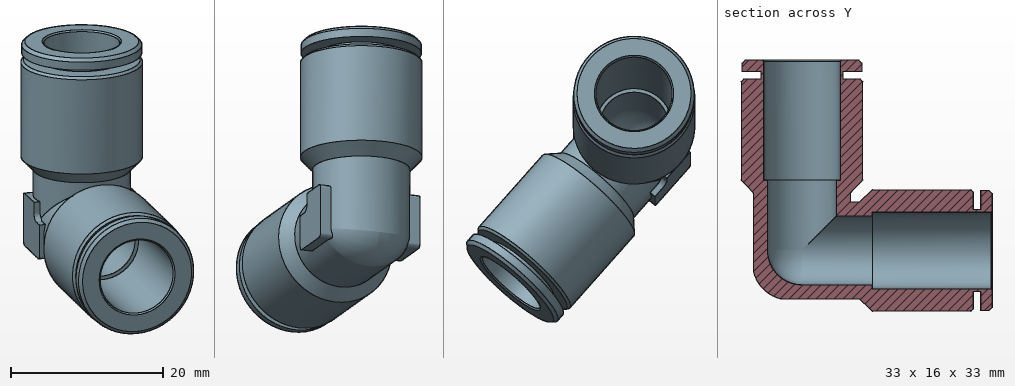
import cadquery as cq
import math

body_radius = 16.0 / 2
arm_length = 33 - body_radius

stem_end = 7.55
body_start = 9.25
body_end = 22.5
collar_start = 23.45
body_chamfer = 0.33
collar_chamfer = 0.43

stem_radius = 12.8 / 2
neck_radius = 10.8 / 2
collar_radius = 15.8 / 2
tube_radius = 10.0 / 2
bore_radius = 9.0 / 2
tube_lead_in = 0.2

bend_pivot = -1.6
bend_start = -2.75
bend_tilt = math.atan2(bend_pivot - bend_start, bend_pivot + stem_radius)

pad_min = -3.2
pad_max = 4.0
pad_notch = 1.6
pad_half_width = 7.03
pad_corner_radius = 0.5
pad_notch_radius = 0.95


def along_x(shape):
    """Turn a shape built along +Z so that it lies along +X."""
    return shape.rotate((0, 0, 0), (0, 1, 0), 90)


def make_mitre():
    """Two stems meeting in a sharp mitre at the outer corner."""
    overrun = 2 * stem_radius
    stem = cq.Workplane("XY").workplane(offset=-overrun).circle(stem_radius).extrude(overrun + stem_end)
    corner = stem.intersect(along_x(stem))
    upright = cq.Workplane("XY").circle(stem_radius).extrude(stem_end)
    return corner.union(upright).union(along_x(upright))


def make_bend_wedge():
    """Wedge that opens from the pivot line and covers the sharp outer corner."""
    reach = 4 * stem_radius
    near = bend_pivot - reach * math.sin(bend_tilt)
    far = bend_pivot - reach * math.cos(bend_tilt)
    outline = [(bend_pivot, bend_pivot), (far, near), (near, far)]
    return cq.Workplane("XZ").polyline(outline).close().extrude(body_radius, both=True)


def make_bend():
    """The tilted elliptical section of the stem, turned about the pivot line."""
    cosine = math.cos(bend_tilt)
    section_plane = cq.Plane(
        origin=(bend_pivot, 0, bend_pivot),
        xDir=(-cosine, 0, -math.sin(bend_tilt)),
        normal=(math.sin(bend_tilt), 0, -cosine),
    )
    half_length = stem_radius / cosine
    section = (
        cq.Sketch()
        .push([(bend_pivot / cosine, 0)])
        .ellipse(half_length, stem_radius)
        .reset()
        .push([(half_length, 0)])
        .rect(2 * half_length, 4 * stem_radius, mode="i")
        .reset()
    )
    bend_angle = 90 - 2 * math.degrees(bend_tilt)
    return cq.Workplane(section_plane).placeSketch(section).revolve(bend_angle, (0, 0, 0), (0, -1, 0))


def make_socket():
    """Coned body, neck and release collar of one arm, along +Z."""
    profile = [
        (0, stem_end),
        (stem_radius, stem_end),
        (body_radius, body_start),
        (body_radius, body_end - body_chamfer),
        (body_radius - body_chamfer, body_end),
        (neck_radius, body_end),
        (neck_radius, collar_start),
        (collar_radius, collar_start),
        (collar_radius, arm_length - collar_chamfer),
        (collar_radius - collar_chamfer, arm_length),
        (0, arm_length),
    ]
    return cq.Workplane("XZ").polyline(profile).close().revolve(360, (0, 0, 0), (0, 1, 0))


def make_bore():
    """Stepped tube bore of one arm, along +Z, with a chamfered mouth."""
    profile = [
        (0, 0),
        (bore_radius, 0),
        (bore_radius, body_start),
        (tube_radius, body_start),
        (tube_radius, arm_length - tube_lead_in),
        (tube_radius + tube_lead_in, arm_length),
        (0, arm_length),
    ]
    return cq.Workplane("XZ").polyline(profile).close().revolve(360, (0, 0, 0), (0, 1, 0))


def make_pads():
    """L-shaped block whose ends form the flat pads on both Y sides."""
    outline = [
        (pad_min, pad_min),
        (pad_max, pad_min),
        (pad_max, pad_notch),
        (pad_notch, pad_notch),
        (pad_notch, pad_max),
        (pad_min, pad_max),
    ]
    block = cq.Workplane("XZ").polyline(outline).close().extrude(pad_half_width, both=True)
    notch_edge = cq.selectors.NearestToPointSelector((pad_notch, 0, pad_notch))
    block = block.edges("|Y").edges(notch_edge).fillet(pad_notch_radius)
    for x, z in [(pad_min, pad_min), (pad_max, pad_min), (pad_min, pad_max)]:
        corner_edge = cq.selectors.NearestToPointSelector((x, 0, z))
        block = block.edges("|Y").edges(corner_edge).fillet(pad_corner_radius)
    return block


socket = make_socket()
bore = make_bore()

elbow = make_mitre().cut(make_bend_wedge()).union(make_bend())
result = elbow.union(make_pads()).union(socket).union(along_x(socket))
result = result.cut(bore).cut(along_x(bore)).cut(cq.Workplane("XY").sphere(bore_radius))